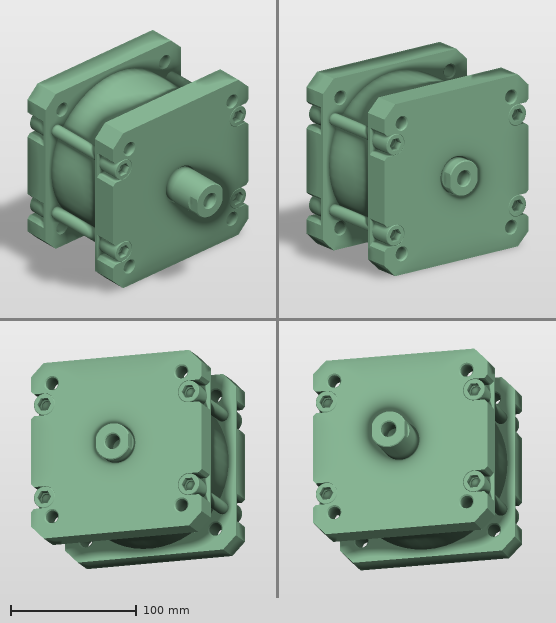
import cadquery as cq
import math


total_length = 148.0
pack_length = 102.9
plate_thickness = 21.9
left_stub = 10.0
barrel_length = pack_length - 2 * plate_thickness

plate_side = 145.0
corner_chamfer = 10.8
mount_spacing = 110.0
mount_diameter = 10.4
mount_chamfer = 1.0
bore_chamfer = 1.2

barrel_diameter = 132.8

tie_offset_y = 61.3
tie_offset_z = 38.3
tie_diameter = 10.0
head_diameter = 17.8
head_length = 19.2
head_chamfer = 0.5
socket_flats = 10.0
socket_depth = 5.9
pilot_diameter = 8.3
pilot_depth = 1.5

slot_width = 18.0
slot_flare = 2.5

rod_diameter = 29.9
rod_chamfer = 0.7
wrench_width = 27.2
wrench_length = 8.1
wrench_cut_margin = 1.5
rod_bore_diameter = 12.5
rod_bore_depth = 20.0
rod_bore_chamfer = 0.9
drill_point_angle = 118.0

TIE_POSITIONS = [(side_y, side_z) for side_y in (-1, 1) for side_z in (-1, 1)]


def cylinder_x(x_start, length, diameter, y=0.0, z=0.0):
    """Cylinder along +X from x_start, centred on (y, z)."""
    return (cq.Workplane("YZ", origin=(x_start, 0, 0))
            .center(y, z).circle(diameter / 2).extrude(length))


def head_slot(side_y, side_z):
    """Cutter for one head slot: round inner end, flared mouth at the plate edge."""
    y_center = tie_offset_y
    y_edge = plate_side / 2
    half = slot_width / 2
    slot = (cq.Workplane("YZ")
            .moveTo(y_center, -half)
            .lineTo(y_edge - slot_flare, -half)
            .lineTo(y_edge, -half - slot_flare)
            .lineTo(y_edge, half + slot_flare)
            .lineTo(y_edge - slot_flare, half)
            .lineTo(y_center, half)
            .threePointArc((y_center - half, 0), (y_center, -half))
            .close().extrude(head_length))
    if side_y < 0:
        slot = slot.mirror("XZ")
    return slot.translate((0, 0, side_z * tie_offset_z))


def make_end_plate():
    """Left end plate, outer face at x = 0."""
    plate = (cq.Workplane("YZ").rect(plate_side, plate_side).extrude(plate_thickness)
             .edges("|X").chamfer(corner_chamfer))

    plate = (plate.faces("<X").workplane()
             .rect(mount_spacing, mount_spacing, forConstruction=True)
             .vertices().hole(mount_diameter))
    plate = plate.edges("%CIRCLE").chamfer(mount_chamfer)

    plate = plate.cut(cylinder_x(0, plate_thickness, rod_diameter))
    plate = plate.faces("<X").edges(cq.NearestToPointSelector((0, 0, 0))).chamfer(bore_chamfer)

    for side_y, side_z in TIE_POSITIONS:
        plate = plate.cut(head_slot(side_y, side_z))
        tie_hole = cylinder_x(0, plate_thickness, tie_diameter,
                              side_y * tie_offset_y, side_z * tie_offset_z)
        plate = plate.cut(tie_hole)
    return plate


def make_barrel():
    """Barrel clamped between the plates, bored for the rod."""
    barrel = cylinder_x(plate_thickness, barrel_length, barrel_diameter)
    return barrel.cut(cylinder_x(plate_thickness, barrel_length, rod_diameter))


def tie_head():
    """Socket head with its outer face at x = 0 on the X axis."""
    hexagon_sides = 6
    socket_corners = socket_flats / math.cos(math.pi / hexagon_sides)
    head = cylinder_x(0, head_length, head_diameter).faces("<X").edges().chamfer(head_chamfer)
    head = head.cut(cq.Workplane("YZ").polygon(hexagon_sides, socket_corners).extrude(socket_depth))
    return head.cut(cylinder_x(socket_depth, pilot_depth, pilot_diameter))


def make_tie_rod(y, z):
    """Tie rod with a socket head at each end, centred on (y, z)."""
    left_head = tie_head()
    right_head = left_head.mirror("YZ").translate((pack_length, 0, 0))
    shank = cylinder_x(head_length, pack_length - 2 * head_length, tie_diameter)
    return shank.union(left_head).union(right_head).translate((0, y, z))


def rod_end_bore():
    """Cutter for the blind bore in the rod end at x = 0: chamfer, bore and drill point."""
    radius = rod_bore_diameter / 2
    point_length = radius / math.tan(math.radians(drill_point_angle / 2))
    return (cq.Workplane("XY")
            .lineTo(0, radius + rod_bore_chamfer)
            .lineTo(rod_bore_chamfer, radius)
            .lineTo(rod_bore_depth, radius)
            .lineTo(rod_bore_depth + point_length, 0)
            .close().revolve(360, (0, 0, 0), (1, 0, 0)))


def wrench_flat():
    """Cutter for the +Y wrench flat at x = 0, ending in a 45 degree slope."""
    y_flat = wrench_width / 2
    y_outside = rod_diameter / 2 + wrench_cut_margin
    slope = y_outside - y_flat
    return (cq.Workplane("XY")
            .moveTo(0, y_flat)
            .lineTo(wrench_length, y_flat)
            .lineTo(wrench_length + slope, y_outside)
            .lineTo(0, y_outside)
            .close().extrude(rod_diameter / 2, both=True))


def make_rod():
    """Through rod, both ends bored and carrying a pair of wrench flats."""
    rod = cylinder_x(0, total_length, rod_diameter).edges("%CIRCLE").chamfer(rod_chamfer)
    end_cut = rod_end_bore().union(wrench_flat()).union(wrench_flat().mirror("XZ"))
    rod = rod.cut(end_cut)
    rod = rod.cut(end_cut.mirror("YZ").translate((total_length, 0, 0)))
    return rod.translate((-left_stub, 0, 0))


left_plate = make_end_plate()
right_plate = left_plate.mirror("YZ").translate((pack_length, 0, 0))
barrel = make_barrel()
rod = make_rod()
tie_rods = [make_tie_rod(side_y * tie_offset_y, side_z * tie_offset_z)
            for side_y, side_z in TIE_POSITIONS]

result = cq.Compound.makeCompound([
    left_plate.val(),
    right_plate.val(),
    barrel.val(),
    rod.val(),
    *[tie_rod.val() for tie_rod in tie_rods],
])